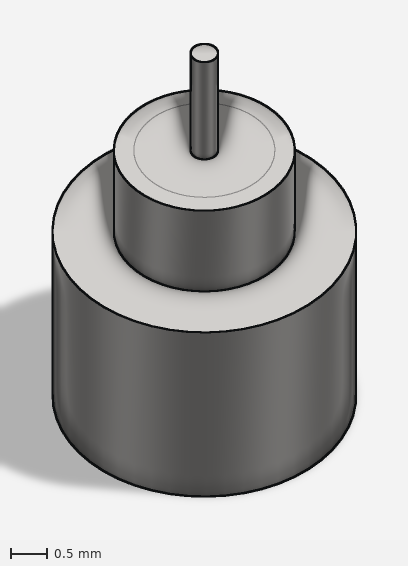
import cadquery as cq

total_height = 6.35
body_height = 3.05
collar_height = 1.5
body_diameter = 4.2
collar_diameter = 2.5
insulator_diameter = 1.95
pin_diameter = 0.38

body_radius = body_diameter / 2
collar_radius = collar_diameter / 2
insulator_radius = insulator_diameter / 2
pin_radius = pin_diameter / 2
collar_top = body_height + collar_height

half_profile = (
    cq.Workplane("XZ")
    .moveTo(0, 0)
    .lineTo(body_radius, 0)
    .lineTo(body_radius, body_height)
    .lineTo(collar_radius, body_height)
    .lineTo(collar_radius, collar_top)
    .lineTo(insulator_radius, collar_top)
    .lineTo(pin_radius, collar_top)
    .lineTo(pin_radius, total_height)
    .lineTo(0, total_height)
    .close()
)

result = half_profile.revolve(360, (0, 0, 0), (0, 1, 0), clean=False)